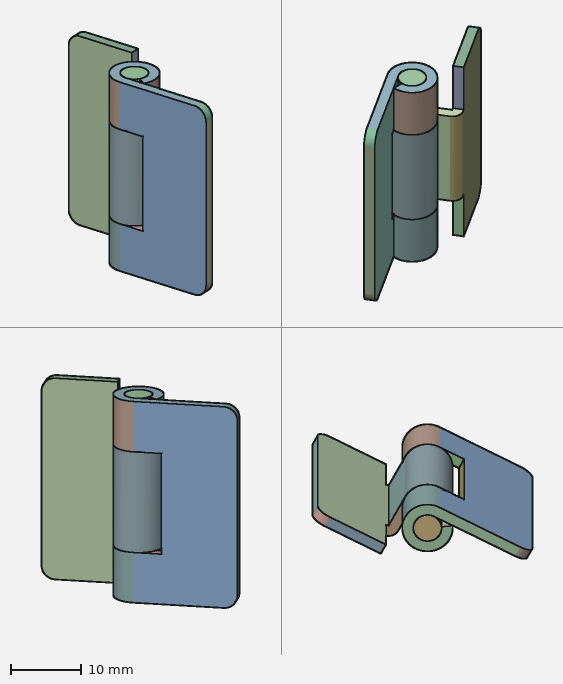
import cadquery as cq
import math

LEAF_SIZE = 30.0
SHEET = 1.6
PIN_RADIUS = 2.0
KNUCKLE_HEIGHT = 15.0
CLEARANCE_X = 4.0
RAISED_FACE_Y = 6.6
CORNER_RADIUS = 2.0
LIP_ANGLE = math.radians(33.5)

HALF = LEAF_SIZE / 2
BARREL_RADIUS = PIN_RADIUS + SHEET


def curled_sheet(length, height):
    """Sheet running along +X below the axis from a barrel curled around the axis."""
    lip_cos = math.cos(LIP_ANGLE)
    lip_sin = math.sin(LIP_ANGLE)
    return (
        cq.Workplane("XY")
        .workplane(offset=-height / 2)
        .moveTo(length, -BARREL_RADIUS)
        .lineTo(0, -BARREL_RADIUS)
        .threePointArc(
            (-BARREL_RADIUS * lip_cos, BARREL_RADIUS * lip_sin),
            (BARREL_RADIUS * lip_cos, -BARREL_RADIUS * lip_sin),
        )
        .lineTo(PIN_RADIUS * lip_cos, -PIN_RADIUS * lip_sin)
        .threePointArc(
            (-PIN_RADIUS * lip_cos, PIN_RADIUS * lip_sin),
            (0, -PIN_RADIUS),
        )
        .lineTo(length, -PIN_RADIUS)
        .close()
        .extrude(height)
    )


def make_straight_leaf():
    """Leaf with the two outer knuckles and a window for the middle knuckle."""
    leaf = curled_sheet(HALF, LEAF_SIZE)
    window = cq.Workplane("XY").box(
        BARREL_RADIUS + CLEARANCE_X, 2 * BARREL_RADIUS, KNUCKLE_HEIGHT
    ).translate(((CLEARANCE_X - BARREL_RADIUS) / 2, 0, 0))
    return leaf.cut(window).edges("|Y and >X").fillet(CORNER_RADIUS)


def make_raised_leaf():
    """Offset leaf joined to the middle knuckle by a bent leg."""
    inner_face_y = RAISED_FACE_Y - SHEET
    plate_length = HALF - CLEARANCE_X
    plate = (
        cq.Workplane("XY")
        .box(plate_length, SHEET, LEAF_SIZE)
        .translate((-(HALF + CLEARANCE_X) / 2, RAISED_FACE_Y - SHEET / 2, 0))
        .edges("|Y and <X")
        .fillet(CORNER_RADIUS)
    )
    knuckle = (
        curled_sheet(inner_face_y, KNUCKLE_HEIGHT)
        .mirror("YZ")
        .rotate((0, 0, 0), (0, 0, 1), -90)
    )
    bend = (
        cq.Workplane("XY")
        .workplane(offset=-KNUCKLE_HEIGHT / 2)
        .moveTo(-CLEARANCE_X, inner_face_y)
        .lineTo(-PIN_RADIUS, inner_face_y)
        .radiusArc((-BARREL_RADIUS, RAISED_FACE_Y), -SHEET)
        .lineTo(-CLEARANCE_X, RAISED_FACE_Y)
        .close()
        .extrude(KNUCKLE_HEIGHT)
    )
    return plate.union(bend).union(knuckle)


def make_pin():
    """Plain pin filling the full height of the knuckles."""
    return cq.Workplane("XY").circle(PIN_RADIUS).extrude(HALF, both=True)


straight_leaf = make_straight_leaf()
raised_leaf = make_raised_leaf()
pin = make_pin()

result = cq.Compound.makeCompound(
    [straight_leaf.solids().val(), raised_leaf.solids().val(), pin.solids().val()]
)